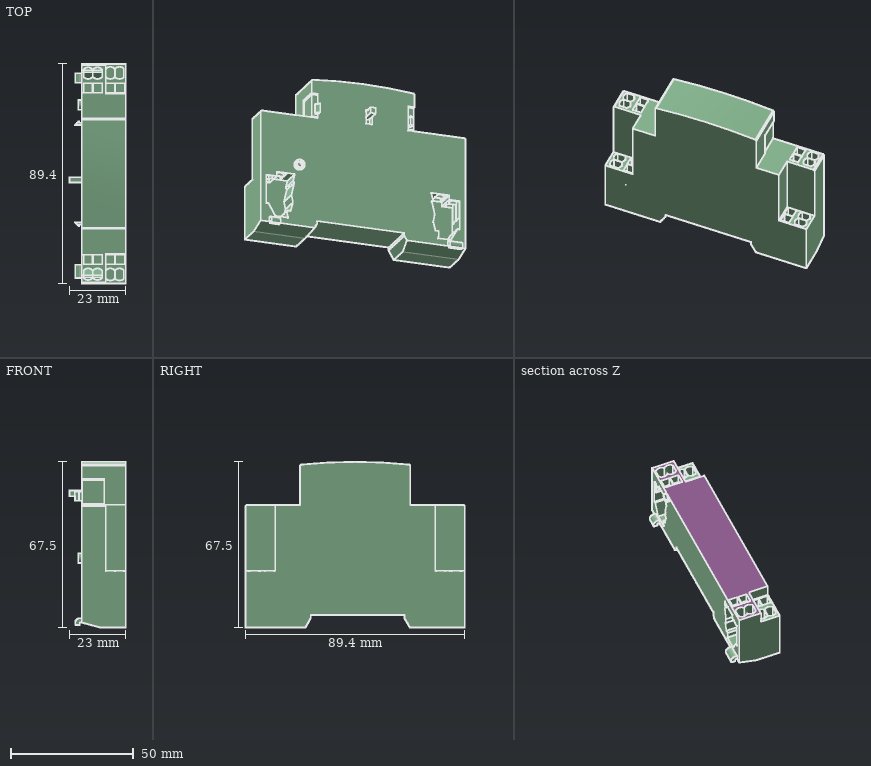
import cadquery as cq
import math


width = 18.0
length = 89.4
half_length = length / 2
shoulder_z = 50.0
head_half = 22.5
head_edge_z = 66.4
head_top_z = 67.52
edge_chamfer = 0.5

rail_roof_z = 5.1
rail_wall_z = 3.9
rail_plus_y = 20.0
rail_minus_y = -18.0
rail_flare_angle = 30.0
rail_flare = rail_wall_z * math.tan(math.radians(rail_flare_angle))
bevel_width = 7.6
bevel_angle = 15.0
bevel_height = bevel_width * math.tan(math.radians(bevel_angle))

lower_step_x = 9.7
lower_step_z = 23.1
lower_step_length = 12.2
upper_entry_x = 0.75
upper_entry_width = 3.75
upper_entry_gap = 0.06
upper_entry_diameter = 4.75
upper_entry_y = 40.9
upper_entry_floor = 15.25
lower_entry_x = 9.85
lower_entry_width = 3.6
lower_entry_gap = 0.15
lower_entry_diameter = 4.95
lower_entry_y = 41.0
lower_entry_depth = 8.0
release_inner_y = 33.0
release_outer_y = 36.75
upper_release_width = 3.55
upper_release_gap = 0.45
lower_release_x = 9.75
lower_release_width = 3.75
lower_release_gap = 0.2
clamp_depth = 8.5
clamp_top_z = 24.2
clamp_shelf_z = 22.3
clamp_floor_z = 4.85
clamp_ledge_z = 8.0

recess_depth_x = 9.1
recess_inner_y = 19.73
recess_top_z = 60.5
recess_gap = 0.5
insert_setback = 0.25
insert_sink = 0.2
latch_reach = 2.75
latch_beam = 1.0
latch_barb_x = 1.0
latch_barb_tip = 1.2
latch_barb_height = 1.7
latch_bottom_z = 51.6
latch_height = 3.8

slot_y = -4.0
slot_z = 50.5
slot_width = 2.6
slot_height = 5.9
slot_depth = 3.0
lever_reach = 5.0
lever_y = -3.65
lever_z = 53.4
lever_width = 2.25
lever_height = 2.45

ring_y = 28.0
ring_z = 28.3
ring_diameter = 4.1
ring_bore = 2.6
ring_height = 1.4

hook_top_z = 3.9
hook_radius = 1.95
hook_stem = 0.75
hook_thickness = 1.85
hook_tip_z = 1.0
hook_spans = ((37.0, 40.9), (-42.5, -37.0))


def box(x0, x1, y0, y1, z0, z1):
    """Axis-aligned block between the given limits."""
    size = cq.Workplane("XY").box(x1 - x0, abs(y1 - y0), z1 - z0, centered=False)
    return size.translate((x0, min(y0, y1), z0))


def housing():
    """Side outline swept across the width, with the underside sloped near the latching face."""
    body = (
        cq.Workplane("YZ")
        .moveTo(-half_length, 0)
        .lineTo(rail_minus_y - rail_flare, 0)
        .lineTo(rail_minus_y, rail_wall_z)
        .lineTo(rail_minus_y, rail_roof_z)
        .lineTo(rail_plus_y, rail_roof_z)
        .lineTo(rail_plus_y, rail_wall_z)
        .lineTo(rail_plus_y + rail_flare, 0)
        .lineTo(half_length, 0)
        .lineTo(half_length, shoulder_z - edge_chamfer)
        .lineTo(half_length - edge_chamfer, shoulder_z)
        .lineTo(head_half, shoulder_z)
        .lineTo(head_half, head_edge_z - edge_chamfer)
        .lineTo(head_half - edge_chamfer, head_edge_z)
        .threePointArc((0, head_top_z), (edge_chamfer - head_half, head_edge_z))
        .lineTo(-head_half, head_edge_z - edge_chamfer)
        .lineTo(-head_half, shoulder_z)
        .lineTo(edge_chamfer - half_length, shoulder_z)
        .lineTo(-half_length, shoulder_z - edge_chamfer)
        .close()
        .extrude(width)
    )
    underside = (
        cq.Workplane("XZ")
        .polyline([(0, 0), (bevel_width, 0), (0, bevel_height)])
        .close()
        .extrude(half_length, both=True)
    )
    return body.cut(underside)


def wire_entries(side, x_start, hole_width, gap, diameter, center_y, floor_z, top_z):
    """Pair of round wire holes, each cut flat on both X sides."""
    pair = cq.Workplane("XY")
    for index in range(2):
        left = x_start + index * (hole_width + gap)
        middle = left + hole_width / 2
        reach = diameter / 2
        y = side * center_y
        round_hole = cq.Workplane("XY", origin=(middle, y, floor_z)).circle(reach).extrude(top_z - floor_z)
        flats = box(left, left + hole_width, y - reach, y + reach, floor_z, top_z)
        pair = pair.add(round_hole.intersect(flats))
    return pair.combine()


def release_slots(side, x_start, slot_size, gap, floor_z, top_z):
    """Pair of square holes that give access to the clamp springs."""
    pair = cq.Workplane("XY")
    for index in range(2):
        left = x_start + index * (slot_size + gap)
        pair = pair.add(
            box(left, left + slot_size, side * release_inner_y, side * release_outer_y, floor_z, top_z)
        )
    return pair.combine()


def clamp_cavity(side):
    """Clamp chamber open on the latching face."""
    outline = [
        (29.75, clamp_top_z),
        (37.6, clamp_top_z),
        (37.6, clamp_shelf_z),
        (42.15, clamp_shelf_z),
        (42.15, 9.95),
        (41.35, 10.2),
        (38.3, clamp_floor_z),
        (32.65, clamp_floor_z),
        (33.0, 6.1),
        (32.95, clamp_ledge_z),
        (31.55, clamp_ledge_z),
        (30.6, 11.75),
        (31.25, 14.9),
        (30.0, 20.4),
        (30.5, 21.1),
    ]
    points = [(side * y, z) for y, z in outline]
    return cq.Workplane("YZ").polyline(points).close().extrude(clamp_depth)


def cut_terminals(body, side):
    """Stepped terminal block at one end: lower step, wire holes, release slots and clamp chamber."""
    step_inner = side * (half_length - lower_step_length)
    body = body.cut(
        box(lower_step_x, width, step_inner, side * half_length, lower_step_z, shoulder_z)
    )
    body = body.cut(
        wire_entries(side, upper_entry_x, upper_entry_width, upper_entry_gap, upper_entry_diameter,
                     upper_entry_y, upper_entry_floor, shoulder_z)
    )
    body = body.cut(
        release_slots(side, upper_entry_x, upper_release_width, upper_release_gap,
                      clamp_top_z, shoulder_z)
    )
    lower_floor_z = lower_step_z - lower_entry_depth
    body = body.cut(
        wire_entries(side, lower_entry_x, lower_entry_width, lower_entry_gap, lower_entry_diameter,
                     lower_entry_y, lower_floor_z, lower_step_z)
    )
    body = body.cut(
        release_slots(side, lower_release_x, lower_release_width, lower_release_gap,
                      lower_floor_z, lower_step_z)
    )
    return body.cut(clamp_cavity(side))


def add_latch(body, side):
    """Recess in the head's end wall, its insert block and the barbed latch standing on it."""
    inner = side * recess_inner_y
    body = body.cut(box(0, recess_depth_x, inner, side * head_half, shoulder_z, recess_top_z))
    insert = box(
        insert_sink, recess_depth_x, inner, side * (head_half - insert_setback),
        shoulder_z + recess_gap, recess_top_z - recess_gap,
    )
    latch = (
        cq.Workplane("XY", origin=(0, 0, latch_bottom_z))
        .moveTo(insert_sink, inner)
        .lineTo(-latch_reach, inner)
        .lineTo(-latch_barb_tip, inner + side * latch_barb_height)
        .lineTo(-latch_barb_x, inner + side * latch_barb_height)
        .lineTo(-latch_barb_x, inner + side * latch_beam)
        .lineTo(insert_sink, inner + side * latch_beam)
        .close()
        .extrude(latch_height)
    )
    return body.union(insert).union(latch)


def add_lever(body):
    """Coupling lever standing in its slot."""
    slot = box(0, slot_depth, slot_y, slot_y + slot_width, slot_z, slot_z + slot_height)
    lever = box(
        -lever_reach, slot_depth, lever_y, lever_y + lever_width, lever_z, lever_z + lever_height
    )
    return body.cut(slot).union(lever)


def locating_ring():
    """Hollow round stud on the latching face."""
    return (
        cq.Workplane("YZ", origin=(-ring_height, 0, 0))
        .center(ring_y, ring_z)
        .circle(ring_diameter / 2)
        .circle(ring_bore / 2)
        .extrude(ring_height)
    )


def foot_hook(y_start, y_end):
    """Rounded hook pointing down, running along Y at the foot of the latching face."""
    center_z = hook_top_z - hook_radius
    diagonal = hook_radius * math.sqrt(0.5)
    tip_x = -hook_stem - math.sqrt(hook_radius**2 - (center_z - hook_tip_z) ** 2)
    return (
        cq.Workplane("XZ", origin=(0, y_end, 0))
        .moveTo(0, hook_top_z)
        .lineTo(-hook_stem, hook_top_z)
        .threePointArc((-hook_stem - diagonal, center_z + diagonal), (tip_x, hook_tip_z))
        .lineTo(-hook_stem, hook_tip_z)
        .lineTo(-hook_stem, hook_top_z - hook_thickness)
        .lineTo(0, hook_top_z - hook_thickness)
        .close()
        .extrude(y_end - y_start)
    )


result = housing()
for end in (1, -1):
    result = cut_terminals(result, end)
    result = add_latch(result, end)
result = add_lever(result)
result = result.union(locating_ring())
for hook_start, hook_end in hook_spans:
    result = result.union(foot_hook(hook_start, hook_end))